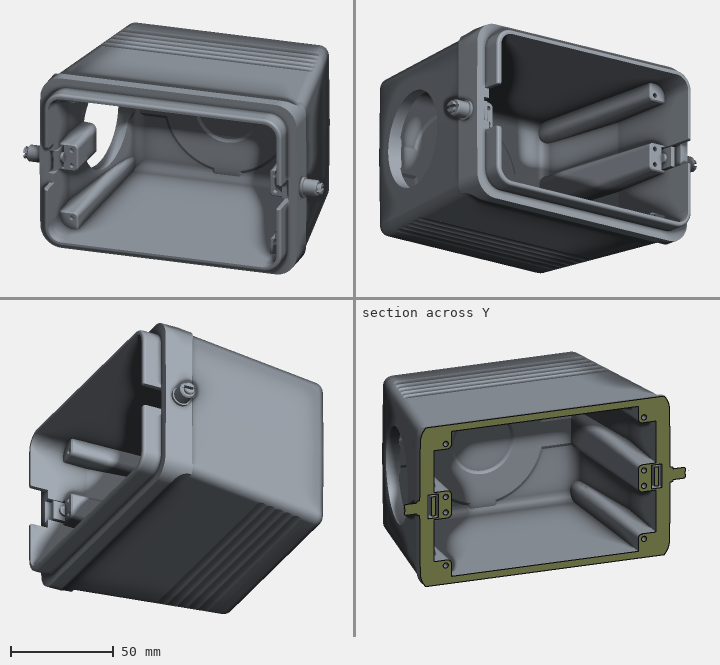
import cadquery as cq
import math


back_y = 95.6
hull_half_z = 40.1
hull_half_x = 65.1
hull_base_y = 15.4
hull_start_y = 12.2
side_slope = 0.169
side_angle = math.degrees(math.atan(side_slope))
crown_angle = 0.6
hull_round = 5.2

flange_half_x = 66.0
flange_half_z = 44.4
flange_corner = 11.0
flange_lip_y = 6.1
flange_edge_y = 7.3
flare_end_y = 14.6
flange_side_y = 14.3
flange_edge_drop = 0.6

rim_length = 9.6
rim_half_x = 60.8
rim_half_z = 39.8
rim_corner = 9.1
rim_end_round = 1.4
notch_half_z = 6.0
entry_notch_half_z = 10.7
notch_round = 0.9

mouth_half_x = 58.5
mouth_half_z = 37.5
mouth_corner = 6.9
cavity_draft = 1.0
floor_y = 90.7
floor_round = 5.0
plain_wall = 2.7
entry_wall = 6.1

entry_diameter = 48.5
entry_y = 59.9
entry_reach = 9.1
entry_clearance = 3.0

relief_radius = 31.3
relief_arm_half = 6.4
relief_height = 0.8
relief_spread = 1.5
recess_diameter = 29.7
recess_depth = 0.8
recess_rim = 1.5

post_top_y = 8.1
post_draft = 2.0
post_round = 2.3
post_chamfer = 0.6
post_inner_x = 49.1
corner_post_inner_z = 28.5
mid_post_half_z = 7.0
screw_x = 52.1
corner_screw_z = 31.3
mid_screw_z = 4.0
screw_diameter = 2.5
screw_depth = 15.2

pin_y = 8.0
pin_tip_x = 76.2
pin_diameter = 8.2
collar_diameter = 9.8
collar_end_x = 67.4
shoulder_x = 74.1
neck_diameter = 4.9
pin_chamfer = 0.6
head_start_x = 75.3
head_diameter = 6.1
head_chamfer = 0.5
pin_slot_width = 1.5
pin_slot_depth = 2.5
pocket_inner_x = 56.1
pocket_outer_x = 61.5
pocket_end_y = 13.7
plate_outer_x = 59.8
plate_inner_x = 57.5
plate_half_z = 5.0
plate_start_y = 2.5

groove_count = 5
groove_first_y = 59.3
groove_pitch = 5.2
groove_width = 4.9
groove_depth = 0.8
groove_side_gap = 2.3


def hull_side(y):
    """Half width of the hull at depth y, on the mid plane."""
    return hull_half_x - side_slope * (y - hull_base_y)


def facing_back(y):
    """Workplane at depth y that extrudes toward +Y; its local axes are X and -Z."""
    return cq.Workplane(cq.Plane(origin=(0, y, 0), xDir=(1, 0, 0), normal=(0, 1, 0)))


def both_sides(shape, plane):
    return shape.union(shape.mirror(plane))


def make_hull():
    upper = (
        cq.Workplane("XY")
        .polyline([
            (-hull_side(hull_start_y), hull_start_y),
            (hull_side(hull_start_y), hull_start_y),
            (hull_side(back_y), back_y),
            (-hull_side(back_y), back_y),
        ])
        .close()
        .extrude(hull_half_z, taper=crown_angle)
    )
    outer_edges = upper.faces(">Z").edges("not <Y").vals()
    back_corners = upper.faces(">Y").edges("not |X").vals()
    side_edges = outer_edges + back_corners
    upper = upper.newObject(side_edges).fillet(hull_round)
    return both_sides(upper, "XY")


def make_flange():
    crowned_x = flange_half_x - flange_half_z * math.tan(math.radians(crown_angle))
    block = (
        facing_back(0)
        .polyline([
            (-flange_half_x, 0), (-crowned_x, -flange_half_z), (crowned_x, -flange_half_z),
            (flange_half_x, 0), (crowned_x, flange_half_z), (-crowned_x, flange_half_z),
        ])
        .close()
        .extrude(hull_base_y)
    )
    corners = block.edges("|Y").edges(">Z or <Z")
    block = block.newObject(corners.vals()).fillet(flange_corner)

    edge_z = flange_half_z - flange_edge_drop
    rise = edge_z - hull_half_z
    run = flare_end_y - flange_edge_y
    half_turn = math.atan(rise / run)
    flare_radius = run / math.sin(2 * half_turn)
    flare_mid = (
        flare_end_y - flare_radius * math.sin(half_turn),
        hull_half_z + flare_radius * (1 - math.cos(half_turn)),
    )
    flare = (
        cq.Workplane("YZ")
        .moveTo(0, 0)
        .lineTo(0, flange_half_z)
        .lineTo(flange_lip_y, flange_half_z)
        .lineTo(flange_edge_y, edge_z)
        .threePointArc(flare_mid, (flare_end_y, hull_half_z))
        .lineTo(hull_base_y, hull_half_z)
        .lineTo(hull_base_y, 0)
        .close()
        .extrude(flange_half_x, both=True)
    )
    sides = (
        cq.Workplane("XY")
        .polyline([
            (-flange_half_x, 0), (flange_half_x, 0), (flange_half_x, flange_side_y),
            (hull_half_x, hull_base_y), (-hull_half_x, hull_base_y), (-flange_half_x, flange_side_y),
        ])
        .close()
        .extrude(flange_half_z, both=True)
    )
    return block.intersect(both_sides(flare, "XY")).intersect(sides)


def make_rim():
    return (
        facing_back(-rim_length)
        .rect(2 * rim_half_x, 2 * rim_half_z)
        .extrude(rim_length + flange_lip_y)
        .edges("|Y").fillet(rim_corner)
        .faces("<Y").edges().fillet(rim_end_round)
    )


def make_notches():
    """Openings through the short sides of the rim, flared at the rim end."""
    notches = cq.Workplane("XY")
    for side, half_z in ((1, notch_half_z), (-1, entry_notch_half_z)):
        upper = (
            cq.Workplane("YZ")
            .moveTo(-rim_length, 0)
            .lineTo(-rim_length, half_z + notch_round)
            .radiusArc((notch_round - rim_length, half_z), -notch_round)
            .lineTo(0, half_z)
            .lineTo(0, 0)
            .close()
            .extrude(side * flange_half_x)
        )
        notches = notches.union(both_sides(upper, "XY"))
    return notches


def make_cavity():
    depth = floor_y + rim_length
    box = (
        facing_back(-rim_length)
        .sketch()
        .rect(2 * mouth_half_x, 2 * mouth_half_z)
        .vertices().fillet(mouth_corner)
        .finalize()
        .extrude(depth, taper=cavity_draft)
    )
    slant = math.cos(math.radians(side_angle))
    plain_offset = plain_wall / slant
    entry_offset = entry_wall / slant
    walls = (
        cq.Workplane("XY")
        .polyline([
            (entry_offset - hull_side(-rim_length), -rim_length),
            (hull_side(-rim_length) - plain_offset, -rim_length),
            (hull_side(floor_y) - plain_offset, floor_y),
            (entry_offset - hull_side(floor_y), floor_y),
        ])
        .close()
        .extrude(mouth_half_z, both=True)
    )
    return box.intersect(walls).faces(">Y").edges().fillet(floor_round)


def make_floor_relief():
    """Raised disc with four arms on the cavity floor, with a shallow round recess."""
    spread_angle = math.degrees(math.atan(relief_spread / relief_height))
    top_y = floor_y - relief_height
    outlines = [
        facing_back(top_y).circle(relief_radius),
        facing_back(top_y).rect(2 * hull_side(floor_y), 2 * relief_arm_half),
        facing_back(top_y).rect(2 * relief_arm_half, 2 * hull_half_z),
    ]
    relief = cq.Workplane("XY")
    for outline in outlines:
        relief = relief.union(outline.extrude(relief_height, taper=-spread_angle))
    return relief


def make_floor_recess():
    return (
        facing_back(floor_y - relief_height)
        .circle(recess_diameter / 2 + recess_rim)
        .workplane(offset=recess_depth)
        .circle(recess_diameter / 2)
        .loft()
    )


def make_posts():
    length = back_y - post_top_y

    def post(x, z, size_x, size_z):
        return (
            facing_back(post_top_y)
            .center(x, -z)
            .sketch()
            .rect(size_x, size_z)
            .vertices().fillet(post_round)
            .finalize()
            .extrude(length, taper=-post_draft)
            .faces("<Y").chamfer(post_chamfer)
        )

    size_x = flange_half_x - post_inner_x
    centre_x = post_inner_x + size_x / 2
    size_z = rim_half_z - corner_post_inner_z
    corner_z = corner_post_inner_z + size_z / 2
    posts = post(centre_x, 0, size_x, 2 * mid_post_half_z)
    for side in (-1, 1):
        posts = posts.union(post(centre_x, side * corner_z, size_x, size_z))
    return both_sides(posts, "YZ")


def make_screw_holes():
    heights = [-corner_screw_z, -mid_screw_z, mid_screw_z, corner_screw_z]
    points = [(side * screw_x, z) for side in (-1, 1) for z in heights]
    return facing_back(post_top_y).pushPoints(points).circle(screw_diameter / 2).extrude(screw_depth)


def make_cable_entry():
    """Bore square to the sloping -X side."""
    angle = math.radians(side_angle)
    inward = cq.Vector(math.cos(angle), -math.sin(angle), 0)
    centre = cq.Vector(-hull_side(entry_y), entry_y, 0)
    length = entry_clearance + entry_wall + entry_reach
    bore = cq.Solid.makeCylinder(entry_diameter / 2, length, centre - inward * entry_clearance, inward)
    return cq.Workplane(obj=bore)


def make_pins():
    stages = [
        (pocket_inner_x, collar_end_x - pocket_inner_x, neck_diameter),
        (pocket_outer_x, collar_end_x - pocket_outer_x, collar_diameter),
        (shoulder_x, head_start_x - shoulder_x, neck_diameter),
    ]
    head_length = pin_tip_x - head_start_x
    axis = cq.Workplane("YZ").center(pin_y, 0)
    pin = (
        axis.workplane(offset=head_start_x)
        .circle(head_diameter / 2)
        .extrude(head_length)
        .faces(">X").chamfer(head_chamfer)
    )
    shank = (
        axis.workplane(offset=collar_end_x)
        .circle(pin_diameter / 2)
        .extrude(shoulder_x - collar_end_x)
        .faces(">X").chamfer(pin_chamfer)
    )
    pin = pin.union(shank)
    for start, length, diameter in stages:
        pin = pin.union(axis.workplane(offset=start).circle(diameter / 2).extrude(length))
    slot = (
        axis.workplane(offset=pin_tip_x - pin_slot_depth)
        .rect(pin_diameter, pin_slot_width)
        .extrude(pin_slot_depth)
    )
    plate = (
        facing_back(plate_start_y)
        .center((plate_inner_x + plate_outer_x) / 2, 0)
        .rect(plate_outer_x - plate_inner_x, 2 * plate_half_z)
        .extrude(pocket_end_y - plate_start_y)
    )
    return both_sides(pin.cut(slot).union(plate), "YZ")


def make_pin_pockets():
    """Recess behind each pin, open to the rim notch."""
    pocket = (
        facing_back(0)
        .center((pocket_inner_x + pocket_outer_x) / 2, 0)
        .rect(pocket_outer_x - pocket_inner_x, 2 * notch_half_z)
        .extrude(pocket_end_y)
    )
    return both_sides(pocket, "YZ")


def make_grip_grooves():
    half_width = groove_width / 2
    radius = (half_width**2 + groove_depth**2) / (2 * groove_depth)
    axis_z = hull_half_z + radius - groove_depth
    grooves = cq.Workplane("XY")
    for index in range(groove_count):
        y = groove_first_y + index * groove_pitch
        half_length = hull_side(y) - groove_side_gap - half_width
        bar = cq.Workplane("YZ").center(y, axis_z).circle(radius).extrude(half_length, both=True)
        ends = (
            cq.Workplane("XY", origin=(0, y, axis_z))
            .pushPoints([(-half_length, 0), (half_length, 0)])
            .sphere(radius)
        )
        grooves = grooves.union(bar).union(ends)
    return both_sides(grooves, "XY")


outside = make_hull().union(make_flange())
fittings = make_posts().union(make_floor_relief()).intersect(outside)

result = (
    outside
    .union(make_rim())
    .cut(make_cavity())
    .cut(make_notches())
    .union(fittings)
    .cut(make_floor_recess())
    .cut(make_screw_holes())
    .cut(make_cable_entry())
    .cut(make_pin_pockets())
    .union(make_pins())
    .cut(make_grip_grooves())
)